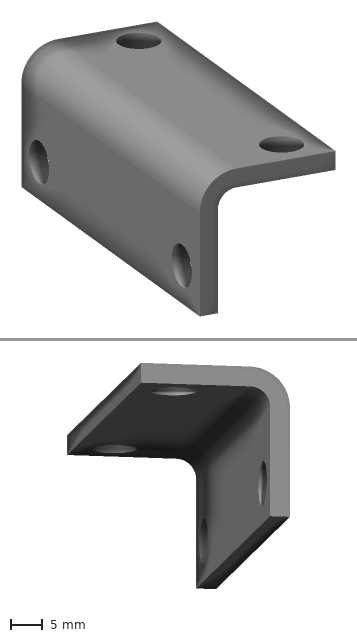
import cadquery as cq

length = 63.5
leg = 23.8
thickness = 3.2
bend_radius = 6.35
hole_diameter = 7.1
hole_edge_distance = 6.35

inner_radius = bend_radius - thickness
hole_spacing = length - 2 * hole_edge_distance
hole_offset = leg - hole_edge_distance


def angle_block(leg_length, corner_radius):
    """Square bar along X with its front top edge rounded."""
    bar = cq.Workplane("XY").box(length, leg_length, leg_length, centered=(True, False, False))
    return bar.faces("<Y").edges(">Z").fillet(corner_radius)


def hole_pair(plane):
    """Two hole cutters, one near each end, along the normal of the plane."""
    return (
        plane.pushPoints([(-hole_spacing / 2, 0), (hole_spacing / 2, 0)])
        .circle(hole_diameter / 2)
        .extrude(thickness)
    )


inside = angle_block(leg - thickness, inner_radius).translate((0, thickness, 0))
bracket = angle_block(leg, bend_radius).cut(inside)

vertical_leg_plane = cq.Workplane("XZ", origin=(0, thickness, leg - hole_offset))
horizontal_leg_plane = cq.Workplane("XY", origin=(0, hole_offset, leg - thickness))

result = bracket.cut(hole_pair(vertical_leg_plane)).cut(hole_pair(horizontal_leg_plane))